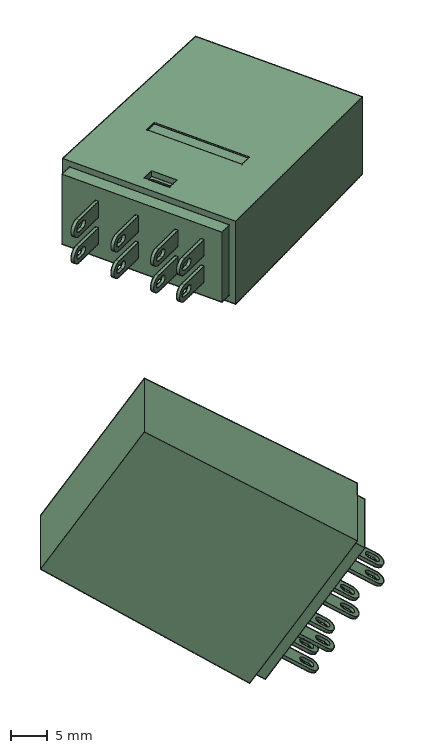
import cadquery as cq

overall_length = 42.0
rear_y = overall_length / 2
tip_y = -overall_length / 2

cover_width = 27.5
cover_height = 14.0
cover_length = 33.75
rear_width = 26.5
rear_height = 13.0
mouth_y = rear_y - cover_length

base_width = 25.4
base_height = 11.8
base_projection = 1.85
base_insertion = 5.9
base_clearance = 0.1
base_face_y = mouth_y - base_projection
base_inner_y = mouth_y + base_insertion

label_width = 15.1
label_length = 1.97
label_depth = 0.25
label_y = -0.05

window_width = 4.05
window_length = 1.95
window_y = -9.8
window_front_y = window_y - window_length / 2

latch_width = 3.2
latch_length = 1.5
latch_flat = 0.4
latch_height = 0.65

blade_columns = [-7.15, -0.8, 5.5, 9.6]
blade_row_pitch = 4.45
blade_thickness = 0.5
blade_height = 2.7
eye_length = 2.23
eye_height = 1.25
eye_y = -19.15


def section_rectangle(width, height, y):
    """Closed rectangle in the plane at the given Y, centred on the Y axis."""
    plane = cq.Plane(origin=(0, y, 0), xDir=(1, 0, 0), normal=(0, -1, 0))
    return cq.Workplane(plane).rect(width, height)


def centred_box(width, length, height, y, z):
    """Box centred at X = 0 and at the given Y and Z."""
    return cq.Workplane("XY").box(width, length, height).translate((0, y, z))


def make_cover():
    rear = section_rectangle(rear_width, rear_height, rear_y)
    cover = rear.workplane(offset=cover_length).rect(cover_width, cover_height).loft(ruled=True)

    recess_height = base_height + 2 * base_clearance
    recess = section_rectangle(base_width, recess_height, base_inner_y).extrude(base_insertion)
    cover = cover.cut(recess)

    slope = (cover_height - rear_height) / 2 / cover_length
    label_z = cover_height / 2 - slope * (label_y - mouth_y)
    label_plane = cq.Plane(origin=(0, label_y, label_z), xDir=(1, 0, 0), normal=(0, slope, 1))
    label = cq.Workplane(label_plane).rect(label_width, label_length).extrude(-label_depth)
    cover = cover.cut(label)

    window_height = cover_height / 2
    window = centred_box(window_width, window_length, window_height, window_y, base_height / 2)
    return cover.cut(window)


def make_latch():
    latch_rear_y = window_front_y + latch_length
    flat_end_y = window_front_y + latch_flat
    foot_z = base_height / 2
    profile = [
        (window_front_y, foot_z),
        (latch_rear_y, foot_z),
        (flat_end_y, foot_z + latch_height),
        (window_front_y, foot_z + latch_height),
    ]
    return cq.Workplane("YZ").polyline(profile).close().extrude(latch_width / 2, both=True)


def make_blade(x, z):
    """Blade with a rounded tip and a slotted eye, standing on the base face."""
    tip_radius = blade_height / 2
    shoulder_y = tip_y + tip_radius
    outline = (
        cq.Workplane("YZ")
        .moveTo(base_face_y, tip_radius)
        .lineTo(shoulder_y, tip_radius)
        .threePointArc((tip_y, 0), (shoulder_y, -tip_radius))
        .lineTo(base_face_y, -tip_radius)
        .close()
    )
    blade = outline.extrude(blade_thickness / 2, both=True)
    eye = cq.Workplane("YZ").center(eye_y, 0).slot2D(eye_length, eye_height)
    blade = blade.cut(eye.extrude(blade_thickness, both=True))
    return blade.translate((x, 0, z))


def make_base():
    plug_length = base_projection + base_insertion
    base = section_rectangle(base_width, base_height, base_inner_y).extrude(plug_length)
    base = base.union(make_latch())
    for x in blade_columns:
        for z in (-blade_row_pitch / 2, blade_row_pitch / 2):
            base = base.union(make_blade(x, z))
    return base


cover = make_cover()
base = make_base()
result = cq.Compound.makeCompound([cover.val(), base.val()])